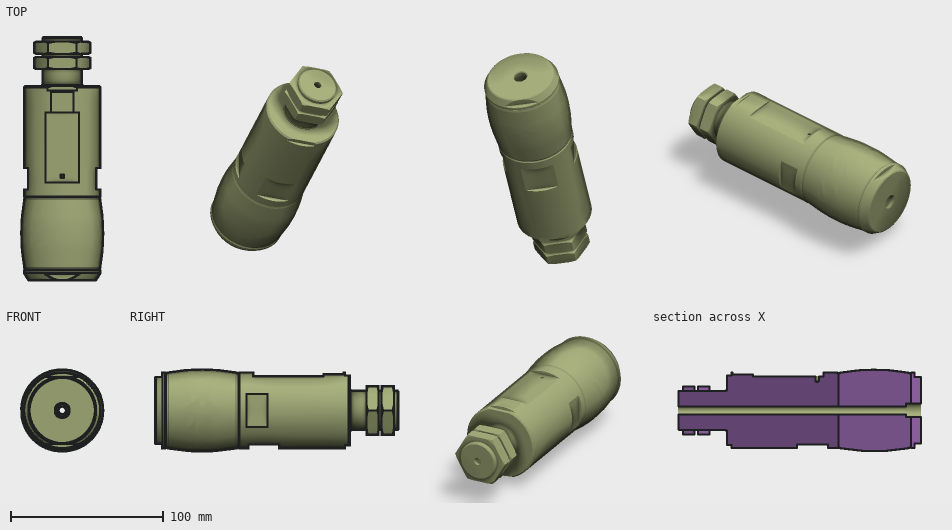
import cadquery as cq
import math


CAP_END = 7.2
SLEEVE_END = 54.7
HOUSING_END = 128.0
TOTAL_LENGTH = 160.0

BODY_RADIUS = 25.0
AIR_BORE_RADIUS = 2.5

JOINT_CHAMFER = 0.7

CAP_FACE_RADIUS = 21.5
CAP_FACE_EDGE_RADIUS = 22.3
CAP_FACE_EDGE_LENGTH = 0.5
CAP_CONE_LENGTH = 4.9
CAP_FLAT_LENGTH = 4.5
CAP_FLAT_DISTANCE = 22.0
PORT_RADIUS = 8.57 / 2
PORT_DEPTH = 10.0
PORT_CHAMFER = 0.6

SLEEVE_END_RADIUS = 24.4
SLEEVE_CHAMFER_LENGTH = 1.5
SLEEVE_BELLY_RADIUS = 27.0

HOUSING_REAR_CHAMFER = 1.0
FLAT_DISTANCE = 22.5
SIDE_FLAT_START = 60.0
SIDE_FLAT_LENGTH = 14.0
BOTTOM_FLAT_START = 61.5
BOTTOM_FLAT_LENGTH = 20.0
TOP_FLAT_START = 64.6
TOP_FLAT_LENGTH = 46.0
SHALLOW_FLAT_DISTANCE = 23.85
SHALLOW_FLAT_END = 124.0
REAR_FLAT_DISTANCE = 23.0
REAR_FLAT_LENGTH = 3.0

PIN_HOLE_DIAMETER = 2.0
PIN_HOLE_RIM_DIAMETER = 2.5
PIN_HOLE_DEPTH = 3.0
PIN_HOLE_OFFSET = 4.0
DRILL_TIP_ANGLE = 118.0

COLLAR_RADIUS = 13.35
COLLAR_LENGTH = 0.6
NECK_RADIUS = 13.0
NECK_MINOR_RADIUS = 24.38 / 2

NUT_ACROSS_FLATS = 32.0
NUT_THICKNESS = 8.0
NUT_STARTS = (139.0, 149.0)
NUT_CHAMFER_ANGLE = 24.0
NUT_FACE_RADIUS = 16.8


def revolve_profile(sketch):
    """Close a (radius, Y) profile and turn it about the Y axis."""
    return sketch.close().revolve(360, (0, 0, 0), (0, 1, 0))


def cylinder_along_y(radius, start, end):
    return cq.Workplane("XZ", origin=(0, start, 0)).circle(radius).extrude(start - end)


def outside_flat(angle, distance, start, length):
    """Cutting block that leaves a flat at a distance from the axis; angle 0 is +Z, turning about Y."""
    size = 2 * BODY_RADIUS
    block = cq.Workplane("XY").box(size, length, size, centered=(True, False, False))
    return block.translate((0, start, distance)).rotate((0, 0, 0), (0, 1, 0), angle)


def make_cap():
    cap = revolve_profile(
        cq.Workplane("XY")
        .moveTo(0, 0)
        .lineTo(CAP_FACE_RADIUS, 0)
        .lineTo(CAP_FACE_EDGE_RADIUS, CAP_FACE_EDGE_LENGTH)
        .lineTo(BODY_RADIUS, CAP_CONE_LENGTH)
        .lineTo(BODY_RADIUS, CAP_END - JOINT_CHAMFER)
        .lineTo(BODY_RADIUS - JOINT_CHAMFER, CAP_END)
        .lineTo(0, CAP_END)
    )
    for angle in (0, 180):
        cap = cap.cut(outside_flat(angle, CAP_FLAT_DISTANCE, 0, CAP_FLAT_LENGTH))
    return cap


def make_sleeve():
    start = CAP_END
    belly_start = start + SLEEVE_CHAMFER_LENGTH
    belly_end = SLEEVE_END - SLEEVE_CHAMFER_LENGTH
    return revolve_profile(
        cq.Workplane("XY")
        .moveTo(0, start)
        .lineTo(SLEEVE_END_RADIUS, start)
        .lineTo(BODY_RADIUS, belly_start)
        .threePointArc((SLEEVE_BELLY_RADIUS, (belly_start + belly_end) / 2), (BODY_RADIUS, belly_end))
        .lineTo(SLEEVE_END_RADIUS, SLEEVE_END)
        .lineTo(0, SLEEVE_END)
    )


def make_pin_hole():
    radius = PIN_HOLE_DIAMETER / 2
    rim_radius = PIN_HOLE_RIM_DIAMETER / 2
    tip_length = radius / math.tan(math.radians(DRILL_TIP_ANGLE / 2))
    profile = (
        cq.Workplane("XZ")
        .moveTo(0, 0)
        .lineTo(rim_radius, 0)
        .lineTo(radius, radius - rim_radius)
        .lineTo(radius, -PIN_HOLE_DEPTH)
        .lineTo(0, -PIN_HOLE_DEPTH - tip_length)
        .close()
    )
    hole = profile.revolve(360, (0, 0, 0), (0, 1, 0))
    return hole.translate((0, TOP_FLAT_START + PIN_HOLE_OFFSET, FLAT_DISTANCE))


def make_housing():
    neck_chamfer = NECK_RADIUS - NECK_MINOR_RADIUS
    housing = revolve_profile(
        cq.Workplane("XY")
        .moveTo(0, SLEEVE_END)
        .lineTo(BODY_RADIUS - JOINT_CHAMFER, SLEEVE_END)
        .lineTo(BODY_RADIUS, SLEEVE_END + JOINT_CHAMFER)
        .lineTo(BODY_RADIUS, HOUSING_END - HOUSING_REAR_CHAMFER)
        .lineTo(BODY_RADIUS - HOUSING_REAR_CHAMFER, HOUSING_END)
        .lineTo(COLLAR_RADIUS, HOUSING_END)
        .lineTo(COLLAR_RADIUS, HOUSING_END + COLLAR_LENGTH)
        .lineTo(NECK_RADIUS, HOUSING_END + COLLAR_LENGTH)
        .lineTo(NECK_RADIUS, TOTAL_LENGTH - neck_chamfer)
        .lineTo(NECK_MINOR_RADIUS, TOTAL_LENGTH)
        .lineTo(0, TOTAL_LENGTH)
    )
    for angle in (90, -90):
        housing = housing.cut(outside_flat(angle, FLAT_DISTANCE, SIDE_FLAT_START, SIDE_FLAT_LENGTH))
    for angle in (0, 180):
        rear_start = HOUSING_END - REAR_FLAT_LENGTH
        housing = housing.cut(outside_flat(angle, REAR_FLAT_DISTANCE, rear_start, REAR_FLAT_LENGTH))
    shallow_start = TOP_FLAT_START + TOP_FLAT_LENGTH
    shallow_length = SHALLOW_FLAT_END - shallow_start
    housing = housing.cut(outside_flat(180, FLAT_DISTANCE, BOTTOM_FLAT_START, BOTTOM_FLAT_LENGTH))
    housing = housing.cut(outside_flat(0, FLAT_DISTANCE, TOP_FLAT_START, TOP_FLAT_LENGTH))
    housing = housing.cut(outside_flat(0, SHALLOW_FLAT_DISTANCE, shallow_start, shallow_length))
    return housing.cut(make_pin_hole())


def make_nut(start):
    """Hexagon nut with flats facing up and down and its corners chamfered on both faces."""
    corner_radius = NUT_ACROSS_FLATS / math.sqrt(3)
    chamfer_length = (corner_radius - NUT_FACE_RADIUS) * math.tan(math.radians(NUT_CHAMFER_ANGLE))
    hexagon = cq.Workplane("XZ").polygon(6, 2 * corner_radius).extrude(-NUT_THICKNESS)
    turned_blank = revolve_profile(
        cq.Workplane("XY")
        .moveTo(NECK_RADIUS, 0)
        .lineTo(NUT_FACE_RADIUS, 0)
        .lineTo(corner_radius, chamfer_length)
        .lineTo(corner_radius, NUT_THICKNESS - chamfer_length)
        .lineTo(NUT_FACE_RADIUS, NUT_THICKNESS)
        .lineTo(NECK_RADIUS, NUT_THICKNESS)
    )
    return hexagon.intersect(turned_blank).translate((0, start, 0))


def make_port():
    return revolve_profile(
        cq.Workplane("XY")
        .moveTo(0, 0)
        .lineTo(PORT_RADIUS + PORT_CHAMFER, 0)
        .lineTo(PORT_RADIUS, PORT_CHAMFER)
        .lineTo(PORT_RADIUS, PORT_DEPTH)
        .lineTo(0, PORT_DEPTH)
    )


air_passage = cylinder_along_y(AIR_BORE_RADIUS, 0, TOTAL_LENGTH).union(make_port())

cap = make_cap().cut(air_passage)
sleeve = make_sleeve().cut(air_passage)
housing = make_housing().cut(air_passage)
nuts = [make_nut(start) for start in NUT_STARTS]

result = cq.Compound.makeCompound(
    [cap.val(), sleeve.val(), housing.val(), *[nut.val() for nut in nuts]]
)